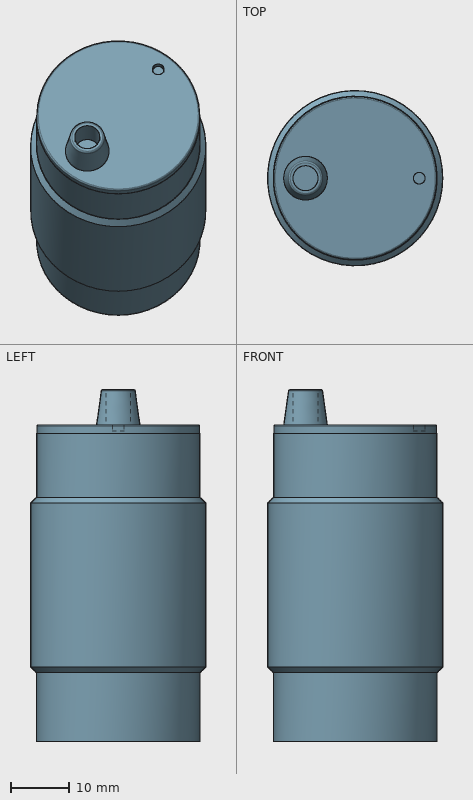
import cadquery as cq

sleeve_diameter = 30.0
base_diameter = 28.05
bevel_inner_diameter = 28.1
neck_diameter = 28.0
cap_diameter = 27.9

sleeve_bottom = 11.8
sleeve_top = 41.85
sleeve_bevel = 0.95
cap_bottom = 52.75
cap_top = 54.3
cap_edge_fillet = 0.25

total_height = 60.3
nozzle_x = -8.5
nozzle_base_diameter = 7.5
nozzle_tip_diameter = 5.8
nozzle_bore_diameter = 4.3
nozzle_rim_fillet = 0.3

vent_x = 11.0
vent_diameter = 2.0
vent_depth = 1.0


def make_housing():
    """Revolve the stepped half profile: base, bevelled sleeve, neck and cap; round the cap edge."""
    base_radius = base_diameter / 2
    sleeve_radius = sleeve_diameter / 2
    neck_radius = neck_diameter / 2
    cap_radius = cap_diameter / 2
    return (
        cq.Workplane("XZ")
        .moveTo(0, 0)
        .lineTo(base_radius, 0)
        .lineTo(base_radius, sleeve_bottom)
        .lineTo(sleeve_radius, sleeve_bottom + sleeve_bevel)
        .lineTo(sleeve_radius, sleeve_top - sleeve_bevel)
        .lineTo(bevel_inner_diameter / 2, sleeve_top)
        .lineTo(neck_radius, sleeve_top)
        .lineTo(neck_radius, cap_bottom)
        .lineTo(cap_radius, cap_bottom)
        .lineTo(cap_radius, cap_top)
        .lineTo(0, cap_top)
        .close()
        .revolve(360, (0, 0), (0, 1))
        .faces(">Z")
        .edges()
        .fillet(cap_edge_fillet)
    )


def make_nozzle():
    """Solid cone frustum standing on the cap, with a rounded rim."""
    return (
        cq.Workplane("XY", origin=(nozzle_x, 0, cap_top))
        .circle(nozzle_base_diameter / 2)
        .workplane(offset=total_height - cap_top)
        .circle(nozzle_tip_diameter / 2)
        .loft(ruled=True)
        .faces(">Z")
        .edges()
        .fillet(nozzle_rim_fillet)
    )


def make_hole(x, diameter, top, depth):
    """Cutter for a flat-bottomed vertical hole that opens upward."""
    return cq.Workplane("XY", origin=(x, 0, top)).circle(diameter / 2).extrude(-depth)


nozzle_bore = make_hole(nozzle_x, nozzle_bore_diameter, total_height, total_height - cap_top)
vent_hole = make_hole(vent_x, vent_diameter, cap_top, vent_depth)

result = make_housing().union(make_nozzle()).cut(nozzle_bore).cut(vent_hole)